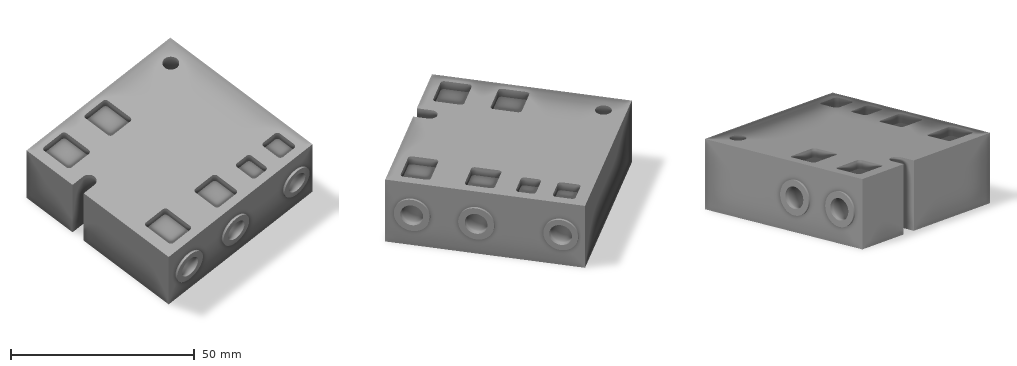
import cadquery as cq

block_width = 54.05
block_depth = 55.9
block_height = 20.05

mount_hole_diameter = 4.6
mount_hole_center = (6.4, 49.5)
slot_width = 4.25
slot_length = 6.25
slot_center_x = 19.6

pocket_depth = 2.55
pocket_margin = 2.55
pocket_corner_radius = 1.0
left_pockets = [
    (23.7, 10.4, 8.7),
    (7.6, 10.4, 8.7),
]
right_pockets = [
    (49.25, 7.4, 6.35),
    (38.55, 7.4, 5.65),
    (25.65, 9.15, 8.45),
    (7.7, 10.4, 8.45),
]

collar_height = 0.65
collar_diameter = 10.05
small_collar_diameter = 9.7
bore_diameter = 6.35
bore_depth = 11.2
port_z = block_height / 2
left_ports = [
    (23.6, collar_diameter),
    (7.6, collar_diameter),
]
right_ports = [
    (49.25, small_collar_diameter),
    (25.6, collar_diameter),
    (7.6, collar_diameter),
]


def vertical_cylinder(x, y, diameter):
    """Cylinder through the full height of the block."""
    return cq.Workplane("XY").center(x, y).circle(diameter / 2).extrude(block_height)


def open_slot():
    """Round-ended slot running in from the -Y face through the full height."""
    straight_length = slot_length - slot_width / 2
    straight = cq.Workplane("XY").box(
        slot_width, straight_length, block_height, centered=(True, False, False)
    ).translate((slot_center_x, 0, 0))
    return straight.union(vertical_cylinder(slot_center_x, straight_length, slot_width))


def pocket(center_x, center_y, size_x, size_y):
    """Round-cornered pocket volume reaching down from the top face."""
    return (
        cq.Workplane("XY", origin=(center_x, center_y, block_height))
        .rect(size_x, size_y)
        .extrude(-pocket_depth)
        .edges("|Z")
        .fillet(pocket_corner_radius)
    )


def add_port(body, face_x, outward, center_y, diameter):
    """Add a collar on a side face and bore it inward; outward is -1 or +1 along X."""
    collar_face_x = face_x + outward * collar_height
    collar_plane = cq.Workplane("YZ", origin=(collar_face_x, center_y, port_z))
    collar = collar_plane.circle(diameter / 2).extrude(-outward * collar_height)
    bore = collar_plane.circle(bore_diameter / 2).extrude(-outward * bore_depth)
    return body.union(collar).cut(bore)


result = cq.Workplane("XY").box(block_width, block_depth, block_height, centered=False)
result = result.cut(vertical_cylinder(*mount_hole_center, mount_hole_diameter))
result = result.cut(open_slot())

for center_y, size_x, size_y in left_pockets:
    center_x = pocket_margin + size_x / 2
    result = result.cut(pocket(center_x, center_y, size_x, size_y))
for center_y, size_x, size_y in right_pockets:
    center_x = block_width - pocket_margin - size_x / 2
    result = result.cut(pocket(center_x, center_y, size_x, size_y))

for center_y, diameter in left_ports:
    result = add_port(result, 0, -1, center_y, diameter)
for center_y, diameter in right_ports:
    result = add_port(result, block_width, 1, center_y, diameter)